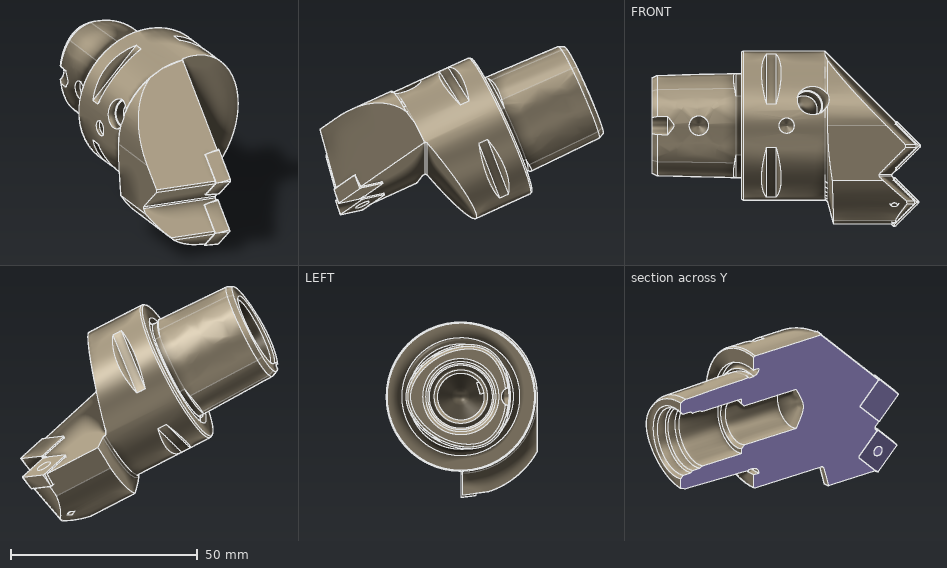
import cadquery as cq
import math


flange_radius = 20.0
flange_length = 22.4
flange_chamfer_length = 0.5
flange_chamfer_height = 0.3

shank_length = 24.0
neck_length = 1.5
shank_end_chamfer_length = 1.5
shank_end_chamfer_height = 0.7
polygon_radius = 14.0
polygon_lobe = 0.7
shank_taper = 1 / 40
lobe_half_angle = math.radians(24)
neck_radius = 14.0
neck_lead = 0.8

recess_outer_radius = 15.8
recess_inner_radius = 14.1
recess_depth = recess_outer_radius - recess_inner_radius

mouth_radius = 10.2
mouth_chamfer_depth = 0.8
clamp_radius = 9.4
clamp_depth = 3.4
collar_radius = 8.85
collar_start = 3.9
collar_end = 6.2
main_bore_radius = 8.45
main_bore_start = 7.2
main_bore_depth = 20.0
inner_bore_radius = 6.25
inner_bore_chamfer = 0.9
inner_bore_depth = 38.0
drill_tip_angle = 118.0

key_hole_radius = 2.55
key_hole_y = -13.4
key_hole_depth = 4.25
key_hole_tip_angle = 100.0
shank_dimple_x = -11.4
shank_dimple_radius = 2.6
shank_dimple_depth = 2.5
flange_dimple_x = 12.1
flange_dimple_radius = 2.05
flange_dimple_depth = 1.0
slot_x = 8.0
slot_floor_width = 2.6
slot_floor_distance = 17.65
slot_side_angle = 30.0

relief_angle = 7.0
side_flat_y = -20.5
side_flat_bottom_z = -14.7
head_upper_radius = -side_flat_y
head_bottom_z = -26.45
bottom_facet_y = -7.5
bottom_facet_z = -25.45
tip_flat = 0.8
notch_flat = 0.5
head_back_angle = 15.0
head_fillet = 0.7
rake_y = -0.4
clearance_top_x = 16.5
clearance_angle = 15.0

insert_edge = 9.525
insert_thickness = 4.1
insert_nose_radius = 0.4
upper_overhang = 0.25
lower_overhang = 0.12
overall_reach = 48.0
upper_insert_z = -5.4
lower_insert_z = -20.46
lower_insert_setback = 0.5

screw_radius = 1.25
screw_length = 11.0
screw_head_radius = 2.0
screw_hole_depth = 15.1

coolant_direction = cq.Vector(1, -3, 1).normalized()
ball_centre = cq.Vector(16.6, -11.1, 4.3)
ball_radius = 3.7
coolant_mouth_radius = 4.0
coolant_mouth_start = 4.4
coolant_mouth_length = 12.0
coolant_passage_radius = 1.6
coolant_passage_length = 7.0

cut_margin = 1.0
blank_margin = 5.0

half_diagonal = insert_edge / math.sqrt(2)
nose_setback = insert_nose_radius * (math.sqrt(2) - 1)
upper_insert_x = overall_reach + nose_setback - half_diagonal
lower_insert_x = upper_insert_x - lower_insert_setback
insert_centres = [(upper_insert_x, upper_insert_z), (lower_insert_x, lower_insert_z)]
relief_slope = math.tan(math.radians(relief_angle))


def drill_tip(radius, tip_angle):
    """Height of the conical end left by a drill."""
    return radius / math.tan(math.radians(tip_angle / 2))


def revolve_about_x(points):
    """Solid of revolution about the tool axis from (x, radius) points."""
    return cq.Workplane("XY").polyline(points).close().revolve(360, (0, 0, 0), (1, 0, 0))


def drilled(origin, direction, radius, depth, tip_angle):
    """Blind hole with a conical end, starting at origin and running along direction."""
    start = cq.Vector(*origin)
    along = cq.Vector(*direction)
    tip_height = drill_tip(radius, tip_angle)
    barrel = cq.Solid.makeCylinder(radius, depth, start, along)
    cone = cq.Solid.makeCone(radius, 0, tip_height, start + along * depth, along)
    return cq.Workplane(barrel).union(cq.Workplane(cone))


def polygon_point(angle, radius, x):
    """Point of the three-lobed outline where its normal stands at angle from +Y."""
    y = radius * math.cos(angle) + polygon_lobe * (2 * math.cos(2 * angle) - math.cos(4 * angle))
    z = radius * math.sin(angle) - polygon_lobe * (2 * math.sin(2 * angle) + math.sin(4 * angle))
    return cq.Vector(x, y, z)


def polygon_wire(radius, x):
    """Outline made of three lobe curves and three flank curves."""
    steps = 8
    edges = []
    for lobe in range(3):
        centre = lobe * math.tau / 3
        next_lobe = centre + math.tau / 3
        breaks = [centre - lobe_half_angle, centre + lobe_half_angle, next_lobe - lobe_half_angle]
        for start, end in zip(breaks, breaks[1:]):
            angles = [start + (end - start) * i / steps for i in range(steps + 1)]
            tangents = [cq.Vector(0, -math.sin(a), math.cos(a)) for a in (start, end)]
            points = [polygon_point(a, radius, x) for a in angles]
            edges.append(cq.Edge.makeSpline(points, tangents=tangents))
    return cq.Wire.assembleEdges(edges)


def polygon_section(x_start, radius_start, x_end, radius_end):
    """Stretch of the shank between two polygon outlines."""
    wires = [polygon_wire(radius_start, x_start), polygon_wire(radius_end, x_end)]
    return cq.Workplane(cq.Solid.makeLoft(wires, True))


def make_shank():
    chamfer_x = -shank_length + shank_end_chamfer_length
    chamfer_radius = polygon_radius - shank_taper * (-neck_length - chamfer_x)
    end_radius = chamfer_radius - shank_end_chamfer_height
    tip = polygon_section(-shank_length, end_radius, chamfer_x, chamfer_radius)
    taper = polygon_section(chamfer_x, chamfer_radius, -neck_length, polygon_radius)
    neck = polygon_section(-neck_length, polygon_radius, recess_depth, polygon_radius)
    envelope_radius = neck_radius + neck_lead
    envelope = revolve_about_x([
        (-shank_length, 0),
        (-shank_length, envelope_radius),
        (-neck_length - neck_lead, envelope_radius),
        (-neck_length, neck_radius),
        (recess_depth, neck_radius),
        (recess_depth, 0),
    ])
    return tip.union(taper).union(neck).intersect(envelope)


def make_flange():
    body = revolve_about_x([
        (0, 0),
        (0, flange_radius - flange_chamfer_height),
        (flange_chamfer_length, flange_radius),
        (flange_length, flange_radius),
        (flange_length, 0),
    ])
    bend = recess_depth * math.sqrt(0.5)
    recess = (
        cq.Workplane("XY")
        .moveTo(0, recess_outer_radius)
        .lineTo(0, recess_inner_radius)
        .threePointArc((bend, recess_outer_radius - bend), (recess_depth, recess_outer_radius))
        .close()
        .revolve(360, (0, 0, 0), (1, 0, 0))
    )
    return body.cut(recess)


def make_slot(angle):
    """Tangential slot with a flat floor and sloping sides, cut into the flange rim."""
    height = flange_radius - slot_floor_distance + cut_margin
    half_floor = slot_floor_width / 2
    half_top = half_floor + height * math.tan(math.radians(slot_side_angle))
    return (
        cq.Workplane("XZ")
        .polyline([
            (slot_x - half_floor, slot_floor_distance),
            (slot_x + half_floor, slot_floor_distance),
            (slot_x + half_top, slot_floor_distance + height),
            (slot_x - half_top, slot_floor_distance + height),
        ])
        .close()
        .extrude(flange_radius, both=True)
        .rotate((0, 0, 0), (1, 0, 0), angle)
    )


def relief_outline(y):
    """Head outline in the plane at height y; its right-hand sides draw back by the relief."""
    relief = -y * relief_slope
    upper_setback = (relief + upper_overhang) * math.sqrt(2)
    lower_setback = (relief + lower_overhang) * math.sqrt(2)
    sums = [x + z + half_diagonal - upper_setback for x, z in insert_centres]
    differences = [x - z + half_diagonal - lower_setback for x, z in insert_centres]

    def flat_corner(total, difference, width, inset):
        """Corner of an upper and a lower side with a flat of the given width square to X."""
        x = (total + difference) / 2 - inset
        z = (total - difference) / 2
        return [(x, z + width / 2), (x, z - width / 2)]

    left_x = flange_length / 2
    bottom_z = head_bottom_z - blank_margin
    return [
        (left_x, sums[0] - left_x),
        *flat_corner(sums[0], differences[0], tip_flat, tip_flat / 2),
        *flat_corner(sums[1], differences[0], notch_flat, -notch_flat / 2),
        *flat_corner(sums[1], differences[1], tip_flat, tip_flat / 2),
        (differences[1] + bottom_z, bottom_z),
        (left_x, bottom_z),
    ]


def make_relieved_block():
    depth = cut_margin - side_flat_y
    wires = []
    for y in (0.0, -depth):
        points = [cq.Vector(x, y, z) for x, z in relief_outline(y)]
        wires.append(cq.Wire.makePolygon(points, close=True))
    return cq.Workplane(cq.Solid.makeLoft(wires, True))


def make_head_section():
    """Cross-section of the head: quarter round on top, flat side, wide round and facet below."""
    rise = side_flat_bottom_z - bottom_facet_z
    lower_centre_z = (
        side_flat_bottom_z + bottom_facet_z + (side_flat_y**2 - bottom_facet_y**2) / rise
    ) / 2
    lower_radius = math.hypot(bottom_facet_y, bottom_facet_z - lower_centre_z)
    side_angle = math.atan2(-side_flat_y, lower_centre_z - side_flat_bottom_z)
    facet_angle = math.atan2(-bottom_facet_y, lower_centre_z - bottom_facet_z)
    middle_angle = (side_angle + facet_angle) / 2
    lower_middle = (
        -lower_radius * math.sin(middle_angle),
        lower_centre_z - lower_radius * math.cos(middle_angle),
    )
    upper_bend = head_upper_radius * math.sqrt(0.5)
    return (
        cq.Workplane("YZ")
        .moveTo(0, head_upper_radius)
        .threePointArc((-upper_bend, upper_bend), (side_flat_y, 0))
        .lineTo(side_flat_y, side_flat_bottom_z)
        .threePointArc(lower_middle, (bottom_facet_y, bottom_facet_z))
        .lineTo(0, head_bottom_z)
        .close()
        .extrude(overall_reach)
    )


def make_head_back():
    """Round body whose rear side is a shallow cone filleted into the flange rim."""
    back = math.radians(head_back_angle)
    turn = math.pi / 2 - back
    fillet_end = (
        flange_length + head_fillet * math.sin(turn),
        flange_radius + head_fillet * (1 - math.cos(turn)),
    )
    fillet_middle = (
        flange_length + head_fillet * math.sin(turn / 2),
        flange_radius + head_fillet * (1 - math.cos(turn / 2)),
    )
    outer_radius = blank_margin - head_bottom_z
    outer_x = fillet_end[0] + (outer_radius - fillet_end[1]) * math.tan(back)
    return (
        cq.Workplane("XY")
        .moveTo(flange_length, 0)
        .lineTo(flange_length, flange_radius)
        .threePointArc(fillet_middle, fillet_end)
        .lineTo(outer_x, outer_radius)
        .lineTo(overall_reach, outer_radius)
        .lineTo(overall_reach, 0)
        .close()
        .revolve(360, (0, 0, 0), (1, 0, 0))
    )


def make_head():
    return make_head_back().intersect(make_head_section()).intersect(make_relieved_block())


def make_chip_clearance():
    """Space above the rake plane, bounded by a wall leaning back over the flange."""
    wall_foot_x = clearance_top_x + flange_radius * math.tan(math.radians(clearance_angle))
    overshoot = 2 * flange_radius
    top_x = clearance_top_x - (overshoot - flange_radius) * math.tan(math.radians(clearance_angle))
    return (
        cq.Workplane("XY")
        .polyline([
            (top_x, overshoot),
            (wall_foot_x, 0),
            (wall_foot_x - rake_y, rake_y),
            (overall_reach + cut_margin, rake_y),
            (overall_reach + cut_margin, overshoot),
        ])
        .close()
        .extrude(overshoot, both=True)
    )


def make_bore():
    steps = [
        (0, 0),
        (0, mouth_radius),
        (mouth_chamfer_depth, clamp_radius),
        (clamp_depth, clamp_radius),
        (collar_start, collar_radius),
        (collar_end, collar_radius),
        (main_bore_start, main_bore_radius),
        (main_bore_depth, main_bore_radius),
        (main_bore_depth, inner_bore_radius + inner_bore_chamfer),
        (main_bore_depth + inner_bore_chamfer, inner_bore_radius),
        (inner_bore_depth, inner_bore_radius),
        (inner_bore_depth + drill_tip(inner_bore_radius, drill_tip_angle), 0),
    ]
    return revolve_about_x([(depth - shank_length, radius) for depth, radius in steps])


def make_coolant_hole():
    """Stepped hole that seats the ball and leads on to the bore."""
    inwards = coolant_direction * -1
    mouth = cq.Solid.makeCylinder(
        coolant_mouth_radius,
        coolant_mouth_length,
        ball_centre + coolant_direction * coolant_mouth_start,
        coolant_direction,
    )
    barrel = cq.Solid.makeCylinder(ball_radius, coolant_mouth_start, ball_centre, coolant_direction)
    passage = cq.Solid.makeCylinder(coolant_passage_radius, coolant_passage_length, ball_centre, inwards)
    bores = cq.Workplane(mouth).union(cq.Workplane(barrel)).union(cq.Workplane(passage))
    return bores.union(make_ball())


def make_key_hole():
    """Axial hole that leaves a half-round groove in the shank."""
    origin = (-shank_length, key_hole_y, 0)
    return drilled(origin, (1, 0, 0), key_hole_radius, key_hole_depth, key_hole_tip_angle)


def make_shank_dimple():
    origin = (shank_dimple_x, -polygon_radius, 0)
    return drilled(origin, (0, 1, 0), shank_dimple_radius, shank_dimple_depth, drill_tip_angle)


def make_flange_dimple():
    origin = (flange_dimple_x, -flange_radius, 0)
    return drilled(origin, (0, 1, 0), flange_dimple_radius, flange_dimple_depth, drill_tip_angle)


def make_screw_hole():
    """Hole for the insert screw; its drill point breaks out of the underside of the head."""
    origin = (lower_insert_x, 0, lower_insert_z)
    return drilled(origin, (0, -1, 0), screw_radius, screw_hole_depth, drill_tip_angle)


def make_ball():
    return cq.Workplane("XY").sphere(ball_radius).translate(ball_centre)


def make_insert(x, z):
    """Square insert standing on its corner, with relieved sides and rounded corners."""
    return (
        cq.Workplane("XZ")
        .sketch()
        .rect(insert_edge, insert_edge)
        .vertices()
        .fillet(insert_nose_radius)
        .finalize()
        .extrude(insert_thickness, taper=relief_angle)
        .rotate((0, 0, 0), (0, 1, 0), 45)
        .translate((x, 0, z))
    )


def make_screw(x, z):
    """Countersunk screw running along -Y with its head flush with the cutting face."""
    head_height = screw_head_radius - screw_radius
    outline = [
        (0, 0),
        (screw_head_radius, 0),
        (screw_radius, -head_height),
        (screw_radius, -screw_length),
        (0, -screw_length),
    ]
    return (
        cq.Workplane("XY")
        .polyline(outline)
        .close()
        .revolve(360, (0, 0, 0), (0, 1, 0))
        .translate((x, 0, z))
    )


ball = make_ball()
inserts = [make_insert(x, z) for x, z in insert_centres]
screw = make_screw(lower_insert_x, lower_insert_z)
inserts[1] = inserts[1].cut(screw)

holder = make_shank().union(make_flange()).union(make_head()).cut(make_chip_clearance())
holder = holder.cut(make_bore()).cut(make_coolant_hole())
for slot_angle in (45, 135, 225, 315):
    holder = holder.cut(make_slot(slot_angle))
holder = holder.cut(make_key_hole()).cut(make_shank_dimple()).cut(make_flange_dimple())
holder = holder.cut(make_screw_hole())
for insert in inserts:
    holder = holder.cut(insert)
holder = holder.cut(screw)

result = cq.Compound.makeCompound([
    holder.val(),
    *[insert.val() for insert in inserts],
    screw.val(),
    ball.val(),
])